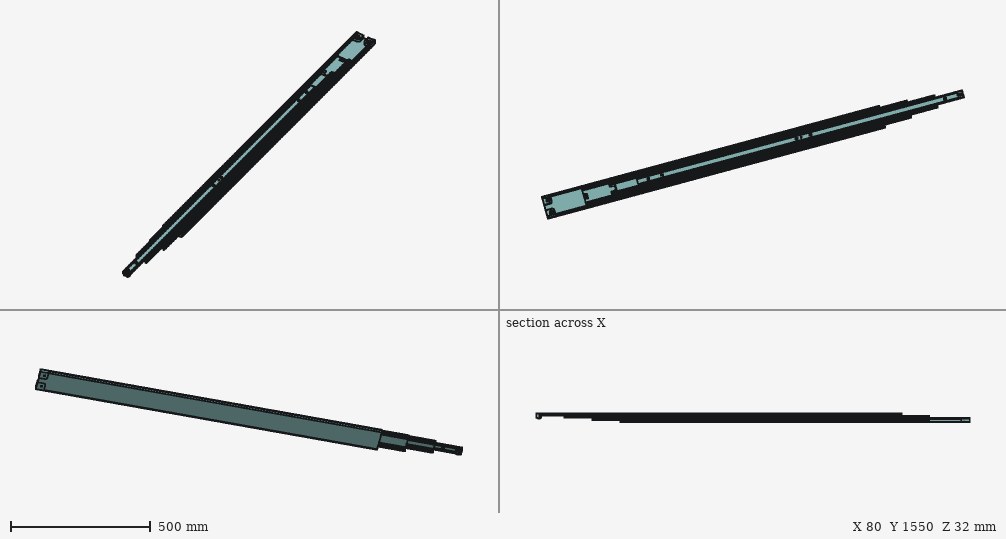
import cadquery as cq

TOTAL_LENGTH = 1550.0
TOTAL_WIDTH = 80.0
TOTAL_HEIGHT = 32.0
STAGE_STEP = 100.0
SHEET = 2.0

INNER_FRONT = -TOTAL_LENGTH / 2
THIRD_FRONT = INNER_FRONT + STAGE_STEP
SECOND_FRONT = THIRD_FRONT + STAGE_STEP
OUTER_FRONT = SECOND_FRONT + STAGE_STEP
OUTER_BACK = TOTAL_LENGTH / 2

OUTER_LENGTH = OUTER_BACK - OUTER_FRONT
SECOND_LENGTH = 1205.0
THIRD_LENGTH = 1207.0
INNER_LENGTH = 1207.0

LEVEL = TOTAL_HEIGHT / 4
SECOND_BOTTOM = LEVEL
THIRD_BOTTOM = 2 * LEVEL
INNER_BOTTOM = 3 * LEVEL
SECOND_WIDTH = 62.0
THIRD_WIDTH = 44.0
INNER_WIDTH = 26.0
OUTER_MOUTH = 66.0
SECOND_MOUTH = 45.0
THIRD_MOUTH = 29.0
LIP_DROP = 4.0
RACE_DEPTH = 2.0

BUMPER_GAP = 20.0
BUMPER_LENGTH = 30.0
BUMPER_TOP = 14.0
BUMPER_CORNER_RADIUS = 8.0
BUMPER_HOLE_DIAMETER = 6.0
BUMPER_HOLE_FROM_BACK = 18.0
BUMPER_COUNTERBORE_DIAMETER = 14.0
BUMPER_COUNTERBORE_DEPTH = 4.0

SECOND_TAB_WIDTH = 18.0
THIRD_TAB_WIDTH = THIRD_WIDTH - 2 * (RACE_DEPTH + SHEET)
SECOND_TAB_DROP = 8.0
THIRD_TAB_DROP = 5.0
WINDOW_FROM_BACK = 6.0
WINDOW_LENGTH = 5.0
NOTCH_WIDTH = 18.0
NOTCH_DEPTH = 19.0

SLOT_WIDTH = 6.0
SLOT_LENGTH = 9.0
SLOT_PAIR_SPACING = 51.0
SLOT_GROUP_SPACING = 550.0
FIRST_SLOT_FROM_FRONT = 16.0
SLOT_GROUPS = 3
PILOT_DIAMETER = 4.0
PILOT_FROM_FRONT = 600.0

LATCH_WIDTH = INNER_WIDTH - 2 * (RACE_DEPTH + SHEET)
LATCH_LENGTH = 18.0
LATCH_BOTTOM = 17.0
LATCH_TIP_BOTTOM = 13.0
LATCH_TIP_FROM_FRONT = 11.0
FRONT_NOTCH_LENGTH = FIRST_SLOT_FROM_FRONT - SLOT_LENGTH / 2


def extrude_profile(points, front, length):
    """Mirror a half outline about the YZ plane and run it from front toward +Y."""
    mirrored = [(-x, z) for x, z in reversed(points)]
    outline = cq.Workplane("XZ", origin=(0, front, 0)).polyline(points + mirrored).close()
    return outline.extrude(-length)


def cradle_points(width, mouth, floor, top):
    """Half outline of an upward channel with lips turned in, from its floor edge to its floor centre."""
    half = width / 2
    return [
        (half, floor),
        (half, top),
        (mouth / 2, top),
        (mouth / 2, top - LIP_DROP),
        (mouth / 2 + SHEET, top - LIP_DROP),
        (mouth / 2 + SHEET, top - SHEET),
        (half - SHEET, top - SHEET),
        (half - SHEET, floor + SHEET),
    ]


def runner_points(width, bottom):
    """Half outline of the downward legs with an open ball groove, from inside to the web's underside."""
    half = width / 2
    groove = half - RACE_DEPTH
    return [
        (groove - SHEET, bottom + LEVEL - SHEET),
        (groove - SHEET, bottom),
        (half, bottom),
        (half, bottom + SHEET),
        (groove, bottom + SHEET),
        (groove, bottom + LEVEL - SHEET),
    ]


def make_middle_rail(width, mouth, bottom, front, length):
    """Rail with runner legs below its web and a cradle for the next rail above it."""
    web_underside = bottom + LEVEL - SHEET
    points = runner_points(width, bottom)
    points += cradle_points(width, mouth, web_underside, bottom + 2 * LEVEL)
    return extrude_profile(points, front, length)


def make_outer_rail():
    points = cradle_points(TOTAL_WIDTH, OUTER_MOUTH, 0, 2 * LEVEL)
    rail = extrude_profile(points, OUTER_FRONT, OUTER_LENGTH)
    bumper_width = (TOTAL_WIDTH - BUMPER_GAP) / 2 - SHEET
    bumper_centre = (BUMPER_GAP + bumper_width) / 2
    bumper_height = BUMPER_TOP - SHEET
    for side in (-1, 1):
        inner_corner = "<X" if side > 0 else ">X"
        bumper = (
            cq.Workplane("XY", origin=(side * bumper_centre, OUTER_BACK - BUMPER_LENGTH / 2, SHEET))
            .box(bumper_width, BUMPER_LENGTH, bumper_height, centered=(True, True, False))
            .faces("<Y").edges("|Z").edges(inner_corner).fillet(BUMPER_CORNER_RADIUS)
        )
        hole_centre = (side * bumper_centre, OUTER_BACK - BUMPER_HOLE_FROM_BACK, BUMPER_TOP)
        hole_plane = cq.Workplane("XY", origin=hole_centre)
        hole = hole_plane.circle(BUMPER_HOLE_DIAMETER / 2).extrude(-bumper_height)
        counterbore = hole_plane.circle(BUMPER_COUNTERBORE_DIAMETER / 2).extrude(-BUMPER_COUNTERBORE_DEPTH)
        rail = rail.union(bumper.cut(hole).cut(counterbore))
    return rail


def make_stop_tab(width, tab_back, web_underside, drop):
    """Plate bent down from a web, with its back face at tab_back."""
    return cq.Workplane("XY", origin=(0, tab_back - SHEET / 2, web_underside - drop)).box(
        width, SHEET, drop, centered=(True, True, False)
    )


def make_second_rail():
    rail = make_middle_rail(SECOND_WIDTH, SECOND_MOUTH, SECOND_BOTTOM, SECOND_FRONT, SECOND_LENGTH)
    web_underside = SECOND_BOTTOM + LEVEL - SHEET
    window_back = SECOND_FRONT + SECOND_LENGTH - WINDOW_FROM_BACK
    window = cq.Workplane("XY", origin=(0, window_back - WINDOW_LENGTH / 2, web_underside)).box(
        SECOND_TAB_WIDTH, WINDOW_LENGTH, SHEET, centered=(True, True, False)
    )
    tab = make_stop_tab(SECOND_TAB_WIDTH, window_back - WINDOW_LENGTH, web_underside, SECOND_TAB_DROP)
    return rail.cut(window).union(tab)


def make_third_rail():
    rail = make_middle_rail(THIRD_WIDTH, THIRD_MOUTH, THIRD_BOTTOM, THIRD_FRONT, THIRD_LENGTH)
    web_underside = THIRD_BOTTOM + LEVEL - SHEET
    back = THIRD_FRONT + THIRD_LENGTH
    half = NOTCH_WIDTH / 2
    straight = NOTCH_DEPTH - half
    notch = (
        cq.Workplane("XY", origin=(0, back, web_underside))
        .moveTo(half, 0)
        .lineTo(half, -straight)
        .threePointArc((0, -NOTCH_DEPTH), (-half, -straight))
        .lineTo(-half, 0)
        .close()
        .extrude(SHEET)
    )
    tab = make_stop_tab(THIRD_TAB_WIDTH, back - NOTCH_DEPTH, web_underside, THIRD_TAB_DROP)
    return rail.cut(notch).union(tab)


def make_latch():
    """Short block under the inner rail's web that drops to a pointed catch."""
    web_underside = TOTAL_HEIGHT - SHEET
    return (
        cq.Workplane("YZ", origin=(-LATCH_WIDTH / 2, INNER_FRONT, 0))
        .polyline([
            (0, web_underside),
            (0, LATCH_BOTTOM),
            (LATCH_TIP_FROM_FRONT, LATCH_TIP_BOTTOM),
            (LATCH_LENGTH, LATCH_BOTTOM),
            (LATCH_LENGTH, web_underside),
        ])
        .close()
        .extrude(LATCH_WIDTH)
    )


def make_inner_rail():
    half = INNER_WIDTH / 2
    web_underside = TOTAL_HEIGHT - SHEET
    points = runner_points(INNER_WIDTH, INNER_BOTTOM)
    points += [(half, web_underside), (half, TOTAL_HEIGHT)]
    rail = extrude_profile(points, INNER_FRONT, INNER_LENGTH)
    slot_centres = [
        (0, FIRST_SLOT_FROM_FRONT + group * SLOT_GROUP_SPACING + place * SLOT_PAIR_SPACING)
        for group in range(SLOT_GROUPS)
        for place in range(2)
    ]
    top_plane = cq.Workplane("XY", origin=(0, INNER_FRONT, TOTAL_HEIGHT))
    slots = top_plane.pushPoints(slot_centres).slot2D(SLOT_LENGTH, SLOT_WIDTH, 90).extrude(-SHEET)
    pilot = top_plane.center(0, PILOT_FROM_FRONT).circle(PILOT_DIAMETER / 2).extrude(-SHEET)
    front_notch = (
        top_plane.center(0, FRONT_NOTCH_LENGTH / 2)
        .rect(SLOT_WIDTH, FRONT_NOTCH_LENGTH)
        .extrude(LATCH_TIP_BOTTOM - TOTAL_HEIGHT)
    )
    return rail.union(make_latch()).cut(slots).cut(pilot).cut(front_notch)


outer_rail = make_outer_rail()
second_rail = make_second_rail()
third_rail = make_third_rail()
inner_rail = make_inner_rail()

result = cq.Compound.makeCompound([
    outer_rail.val(),
    second_rail.val(),
    third_rail.val(),
    inner_rail.val(),
])